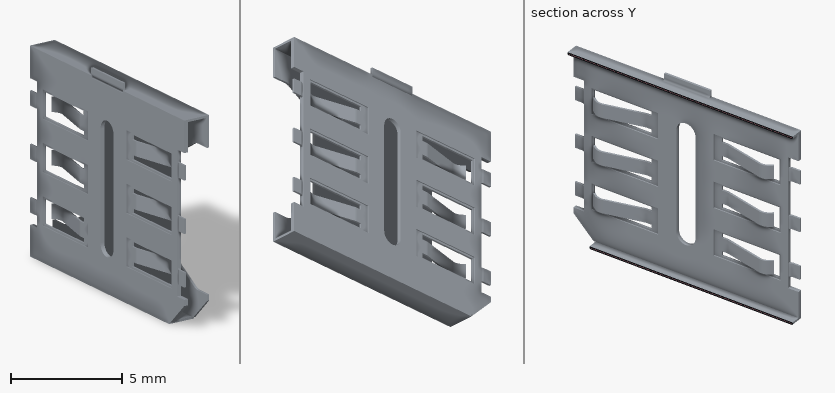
import cadquery as cq
import math

width = 12.3
depth = 1.35
body_height = 10.04
half_width = width / 2

mid_height = 4.99

shell_sheet = 0.11
front_plate = 0.21
contact_sheet = 0.1

side_notch_height = 6.99
front_notch_depth = 0.58
key_chamfer = 1.2

back_half_width = 3.68
back_ramp_start = 5.28
back_ramp_end_inset = 0.96
back_corner_radius = 0.55

slot_length = 6.5
slot_width = 1.03

contact_pitch = 2.55
window_inner = 1.51
window_outer = 5.15
window_height = 1.4
cutout_inner = 1.92
cutout_outer = 5.07
cutout_height = 1.2

contact_setback = 0.05
contact_width = 0.71
spring_bend_start = 2.18
spring_bend_radius = 0.5
spring_ramp_end = 4.29
spring_ramp_angle = 13.0
spring_peak_radius = 0.52
spring_tip_angle = 38.0
spring_tip_length = 0.2

tail_bend_start = 5.73

tab_width = 2.52
tab_top = 10.4
tab_inner_radius = 0.1


def box(x_min, x_max, y_min, y_max, z_min, z_max):
    size = (x_max - x_min, y_max - y_min, z_max - z_min)
    return cq.Workplane("XY").box(*size, centered=False).translate((x_min, y_min, z_min))


def centred_box(x_min, x_max, y_min, y_max, z_mid, height):
    return box(x_min, x_max, y_min, y_max, z_mid - height / 2, z_mid + height / 2)


def mirrored_pair(right_side):
    return [right_side, right_side.mirror("YZ")]


def extrude_in_y(sketch, y_min, y_max):
    """Extrude a sketch drawn on the XZ plane from y_min to y_max."""
    return sketch.extrude(-(y_max - y_min)).translate((0, y_min, 0))


def polar(centre, radius, angle):
    """Point at an angle measured from the +Y direction towards +X."""
    turn = math.radians(angle)
    return (centre[0] + radius * math.sin(turn), centre[1] + radius * math.cos(turn))


def make_body():
    body = box(-half_width, half_width, 0, depth, 0, body_height)
    interior = box(-half_width, half_width, front_plate, depth - shell_sheet,
                   shell_sheet, body_height - shell_sheet)
    return body.cut(interior)


def front_side_notch():
    return centred_box(half_width - front_notch_depth, half_width, 0, front_plate,
                       mid_height, side_notch_height)


def back_side_notch():
    """Opening that narrows inward, with rounded corners along its sloping edges."""
    outer = side_notch_height / 2
    inner = outer - back_ramp_end_inset
    outline = [
        (half_width, mid_height - outer),
        (back_ramp_start, mid_height - outer),
        (back_half_width, mid_height - inner),
        (back_half_width, mid_height + inner),
        (back_ramp_start, mid_height + outer),
        (half_width, mid_height + outer),
    ]
    sketch = cq.Workplane("XZ").polyline(outline).close()
    notch = extrude_in_y(sketch, depth - shell_sheet, depth)
    return notch.edges("|Y").edges("not >X").fillet(back_corner_radius)


def key_corner():
    """Chamfered lower corner on the +X side, with the bottom wall cut off square."""
    wall_end = half_width - key_chamfer
    outline = [
        (half_width, 0),
        (half_width, key_chamfer),
        (wall_end + shell_sheet, shell_sheet),
        (wall_end, shell_sheet),
        (wall_end, 0),
    ]
    return extrude_in_y(cq.Workplane("XZ").polyline(outline).close(), 0, depth)


def central_slot():
    sketch = cq.Workplane("XZ").center(0, mid_height).slot2D(slot_length, slot_width, 90)
    return extrude_in_y(sketch, 0, front_plate)


def contact_window(z_mid):
    return centred_box(window_inner, window_outer, 0, front_plate, z_mid, window_height)


def contact_frame(z_mid):
    """Sheet filling the window, with a cut-out around the spring."""
    y_back = contact_setback + contact_sheet
    sheet = centred_box(window_inner, window_outer, contact_setback, y_back,
                        z_mid, window_height)
    cutout = centred_box(cutout_inner, cutout_outer, contact_setback, y_back,
                         z_mid, cutout_height)
    return sheet.cut(cutout)


def spring(z_mid):
    """Leaf that leaves the frame's inner end, climbs towards the back and bends back at its tip."""
    ramp, tip = spring_ramp_angle, spring_tip_angle

    bend_centre = (spring_bend_start, contact_setback + spring_bend_radius)
    bend_back_radius = spring_bend_radius - contact_sheet

    def bend_front(angle):
        return polar(bend_centre, spring_bend_radius, 180 - angle)

    def bend_back(angle):
        return polar(bend_centre, bend_back_radius, 180 - angle)

    ramp_start = bend_front(ramp)
    ramp_rise = (spring_ramp_end - ramp_start[0]) * math.tan(math.radians(ramp))
    ramp_top = (spring_ramp_end, ramp_start[1] + ramp_rise)
    peak_centre = polar(ramp_top, spring_peak_radius, 180 - ramp)
    peak_back_radius = spring_peak_radius + contact_sheet

    def peak_front(angle):
        return polar(peak_centre, spring_peak_radius, angle)

    def peak_back(angle):
        return polar(peak_centre, peak_back_radius, angle)

    peak_middle = (tip - ramp) / 2
    profile = (
        cq.Workplane("XY")
        .moveTo(cutout_inner, contact_setback)
        .lineTo(*bend_front(0))
        .threePointArc(bend_front(ramp / 2), ramp_start)
        .lineTo(*ramp_top)
        .threePointArc(peak_front(peak_middle), peak_front(tip))
        .lineTo(*polar(peak_front(tip), spring_tip_length, tip + 90))
        .lineTo(*polar(peak_back(tip), spring_tip_length, tip + 90))
        .lineTo(*peak_back(tip))
        .threePointArc(peak_back(peak_middle), peak_back(-ramp))
        .lineTo(*bend_back(ramp))
        .threePointArc(bend_back(ramp / 2), bend_back(0))
        .lineTo(cutout_inner, contact_setback + contact_sheet)
        .close()
    )
    return profile.extrude(contact_width).translate((0, 0, z_mid - contact_width / 2))


def solder_tail(z_mid):
    """Foot flush with the front face, stepped back into the plate's edge by an S-bend."""
    plate_edge = half_width - front_notch_depth
    run = tail_bend_start - plate_edge

    bend_angle = math.degrees(2 * math.atan(contact_setback / run))
    bend_radius = run / (2 * math.sin(math.radians(bend_angle)))
    inner_radius = bend_radius - contact_sheet / 2
    outer_radius = bend_radius + contact_sheet / 2
    foot_centre = (tail_bend_start, outer_radius)
    plate_centre = (plate_edge, contact_setback - inner_radius)

    def foot_bend(radius, angle):
        return polar(foot_centre, radius, 180 + angle)

    def plate_bend(radius, angle):
        return polar(plate_centre, radius, angle)

    half = bend_angle / 2
    profile = (
        cq.Workplane("XY")
        .moveTo(half_width, 0)
        .lineTo(*foot_bend(outer_radius, 0))
        .threePointArc(foot_bend(outer_radius, half), foot_bend(outer_radius, bend_angle))
        .threePointArc(plate_bend(inner_radius, half), plate_bend(inner_radius, 0))
        .lineTo(*plate_bend(outer_radius, 0))
        .threePointArc(plate_bend(outer_radius, half), plate_bend(outer_radius, bend_angle))
        .threePointArc(foot_bend(inner_radius, half), foot_bend(inner_radius, 0))
        .lineTo(half_width, contact_sheet)
        .close()
    )
    return profile.extrude(contact_width).translate((0, 0, z_mid - contact_width / 2))


def tab_clearance():
    """Gap in the top front edge where the tab is bent up out of the top wall."""
    outer_radius = tab_inner_radius + shell_sheet
    return box(-tab_width / 2, tab_width / 2, 0, outer_radius,
               body_height - shell_sheet, body_height)


def stop_tab():
    """Upright lip joined to the top wall by a quarter-round bend."""
    outer_radius = tab_inner_radius + shell_sheet
    centre = (outer_radius, body_height + tab_inner_radius)
    profile = (
        cq.Workplane("YZ")
        .moveTo(0, tab_top)
        .lineTo(0, centre[1])
        .threePointArc(polar(centre, outer_radius, 225), polar(centre, outer_radius, 180))
        .lineTo(outer_radius, body_height)
        .threePointArc(polar(centre, tab_inner_radius, 225), (shell_sheet, centre[1]))
        .lineTo(shell_sheet, tab_top)
        .close()
    )
    return profile.extrude(tab_width / 2, both=True)


contact_heights = [mid_height + row * contact_pitch for row in (-1, 0, 1)]

cuts = [key_corner(), central_slot(), tab_clearance()]
cuts += mirrored_pair(front_side_notch())
cuts += mirrored_pair(back_side_notch())
additions = [stop_tab()]
for contact_z in contact_heights:
    cuts += mirrored_pair(contact_window(contact_z))
    additions += mirrored_pair(contact_frame(contact_z))
    additions += mirrored_pair(spring(contact_z))
    additions += mirrored_pair(solder_tail(contact_z))

result = make_body()
for cut in cuts:
    result = result.cut(cut)
for addition in additions:
    result = result.union(addition)